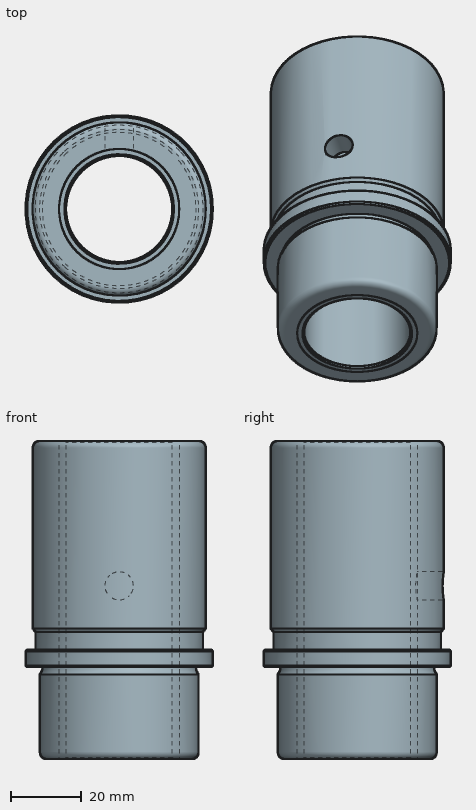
import cadquery as cq
import math

total_height = 90.0
flange_bottom = 26.0
flange_top = 31.0
neck_top = 36.0
neck_taper_height = 1.0

flange_radius = 53.0 / 2
body_radius = 49.0 / 2
neck_radius = 47.5 / 2
spigot_radius = 45.0 / 2

top_fillet = 2.0
spigot_fillet = 2.0
flange_chamfer = 0.5

relief_height = 2.0
relief_arc_radius = 3.0

liner_radius = 34.0 / 2
bore_radius = 30.0 / 2
bore_chamfer = 0.5

side_hole_diameter = 8.0
side_hole_height = 49.0


def relief_radius_at(drop):
    """Radius of the relief groove at a given drop below the flange."""
    half_chord = math.sqrt(relief_arc_radius**2 - relief_height**2)
    arc_center_radius = spigot_radius + half_chord
    return arc_center_radius - math.sqrt(relief_arc_radius**2 - drop**2)


def make_housing():
    """Flanged housing, turned around Z."""
    relief_bottom = flange_bottom - relief_height
    relief_middle = flange_bottom - relief_height / 2
    blank = (
        cq.Workplane("XZ")
        .moveTo(liner_radius, 0)
        .lineTo(spigot_radius, 0)
        .lineTo(spigot_radius, relief_bottom)
        .threePointArc(
            (relief_radius_at(relief_height / 2), relief_middle),
            (relief_radius_at(0), flange_bottom),
        )
        .lineTo(flange_radius - flange_chamfer, flange_bottom)
        .lineTo(flange_radius, flange_bottom + flange_chamfer)
        .lineTo(flange_radius, flange_top - flange_chamfer)
        .lineTo(flange_radius - flange_chamfer, flange_top)
        .lineTo(neck_radius, flange_top)
        .lineTo(neck_radius, neck_top)
        .lineTo(body_radius, neck_top + neck_taper_height)
        .lineTo(body_radius, total_height)
        .lineTo(liner_radius, total_height)
        .close()
        .revolve(360, (0, 0, 0), (0, 1, 0))
    )
    outer_rim = cq.selectors.RadiusNthSelector(-1)
    rounded = blank.faces(">Z").edges(outer_rim).fillet(top_fillet)
    rounded = rounded.faces("<Z").edges(outer_rim).fillet(spigot_fillet)
    return rounded.cut(make_side_hole())


def make_side_hole():
    """Radial cylinder from the axis out past the +Y wall."""
    return (
        cq.Workplane("XZ", origin=(0, 0, side_hole_height))
        .circle(side_hole_diameter / 2)
        .extrude(-flange_radius)
    )


def make_liner():
    """Plain bushing, flush with both ends of the housing."""
    return (
        cq.Workplane("XY")
        .circle(liner_radius)
        .circle(bore_radius)
        .extrude(total_height)
        .edges(cq.selectors.RadiusNthSelector(0))
        .chamfer(bore_chamfer)
    )


housing = make_housing()
liner = make_liner()
result = cq.Compound.makeCompound([housing.val(), liner.val()])